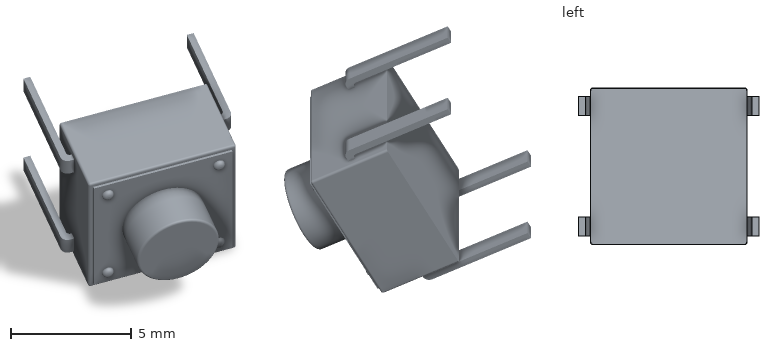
import cadquery as cq

housing_side = 6.5
housing_depth = 3.6
housing_round = 0.1

cover_side = 6.1
cover_thickness = 0.1
cover_front = housing_depth + cover_thickness

button_diameter = 3.6
button_front = 5.6
button_round = 0.1

rivet_radius = 0.25
rivet_height = 0.2
rivet_round = 0.2
rivet_offset = 2.45

lead_span = 7.5
lead_width = 0.8
lead_thickness = 0.3
lead_pitch = 5.0
lead_tip = -3.1
lead_front = 1.8
lead_outer_radius = 0.3
lead_inner_radius = 0.15
lead_embed = 0.1


def make_housing():
    block = cq.Workplane("YZ").rect(housing_side, housing_side).extrude(housing_depth)
    return block.edges("|X").fillet(housing_round).faces(">X").edges().fillet(housing_round)


def make_cover():
    return cq.Workplane("YZ").rect(cover_side, cover_side).extrude(cover_front)


def make_button():
    cylinder = cq.Workplane("YZ").circle(button_diameter / 2).extrude(button_front)
    return cylinder.faces(">X").edges().fillet(button_round)


def make_rivet(y, z):
    """Domed head with a small flat on top, its foot in the cover."""
    foot = cq.Workplane("YZ", origin=(housing_depth, y, z)).circle(rivet_radius)
    pin = foot.extrude(cover_thickness + rivet_height)
    return pin.faces(">X").edges().fillet(rivet_round)


def make_lead(z):
    """Lead on the +Y side, centred at height z."""
    outer_y = lead_span / 2
    inner_y = outer_y - lead_thickness
    root_y = housing_side / 2 - lead_embed
    root_back = lead_front - lead_thickness
    return (
        cq.Workplane("XY", origin=(0, 0, z - lead_width / 2))
        .moveTo(lead_tip, outer_y)
        .lineTo(lead_front - lead_outer_radius, outer_y)
        .radiusArc((lead_front, outer_y - lead_outer_radius), lead_outer_radius)
        .lineTo(lead_front, root_y)
        .lineTo(root_back, root_y)
        .lineTo(root_back, inner_y - lead_inner_radius)
        .radiusArc((root_back - lead_inner_radius, inner_y), -lead_inner_radius)
        .lineTo(lead_tip, inner_y)
        .close()
        .extrude(lead_width)
    )


result = make_housing().union(make_cover()).union(make_button())

for y_side in (-1, 1):
    for z_side in (-1, 1):
        result = result.union(make_rivet(y_side * rivet_offset, z_side * rivet_offset))

for z_side in (-1, 1):
    lead = make_lead(z_side * lead_pitch / 2)
    result = result.union(lead).union(lead.mirror("XZ"))